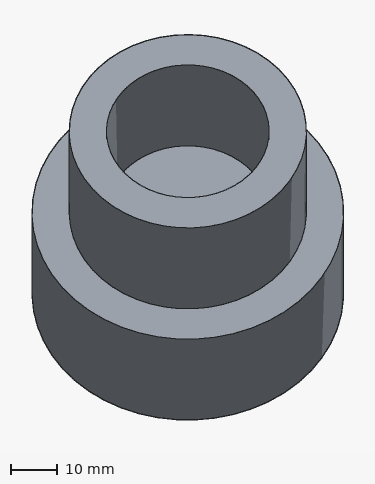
import cadquery as cq

base_diameter = 67.0
neck_diameter = 51.0
bore_diameter = 35.0
total_height = 60.0
base_height = total_height / 2
neck_height = total_height - base_height
bore_depth = neck_height

base = cq.Workplane("XY").circle(base_diameter / 2).extrude(base_height)

body = base.faces(">Z").workplane().circle(neck_diameter / 2).extrude(neck_height)

result = body.faces(">Z").workplane().hole(bore_diameter, bore_depth)